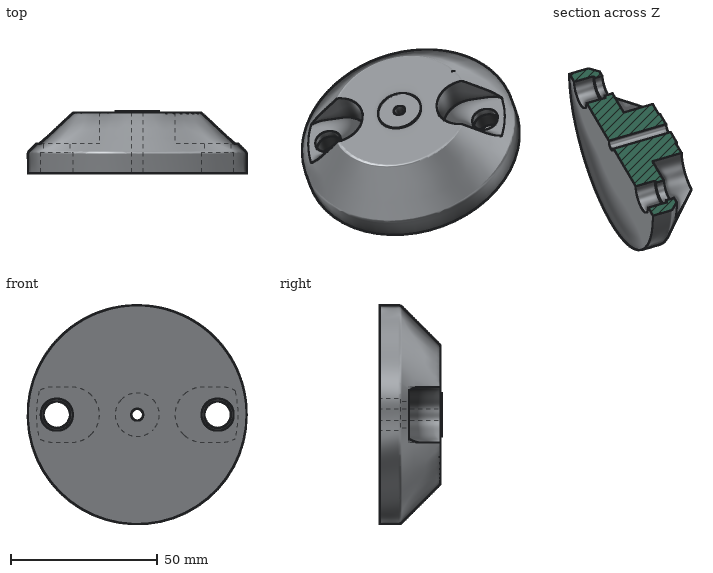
import cadquery as cq

outer_radius = 37.5
body_height = 20.85
shoulder_height = 7.1
flank_height = body_height - shoulder_height
top_radius = outer_radius - flank_height
edge_radius = 1.35

pad_diameter = 15.0
total_height = 21.3

center_hole_diameter = 4.0
mount_hole_offset = 27.5
mount_hole_diameter = 9.0

counterbore_diameter = 11.0
counterbore_depth = 7.1
pocket_width = 19.05
pocket_inner_center = 22.5
pocket_outer_center = 28.8
pocket_floor = 10.1


def cylinder(x, start, end, diameter):
    """Round bar along Y, centred at (x, 0), from Y = start to Y = end."""
    bar = cq.Solid.makeCylinder(
        diameter / 2, end - start, cq.Vector(x, start, 0), cq.Vector(0, 1, 0)
    )
    return cq.Workplane(bar)


def make_body():
    profile = (
        cq.Workplane("XY")
        .lineTo(outer_radius, 0)
        .lineTo(outer_radius, shoulder_height)
        .lineTo(top_radius, body_height)
        .lineTo(0, body_height)
        .close()
    )
    body = profile.revolve(360, (0, 0, 0), (0, 1, 0))
    flank = body.faces("%CONE")
    return flank.edges("%CIRCLE").fillet(edge_radius)


def make_pocket(side):
    """Round-ended slot running in X, open towards the back."""
    pocket_height = total_height - pocket_floor
    pocket_length = pocket_outer_center - pocket_inner_center
    middle_x = side * (pocket_inner_center + pocket_outer_center) / 2
    straight = cq.Workplane("XY").box(pocket_length, pocket_height, pocket_width)
    pocket = straight.translate((middle_x, pocket_floor + pocket_height / 2, 0))
    for center in (pocket_inner_center, pocket_outer_center):
        pocket = pocket.union(cylinder(side * center, pocket_floor, total_height, pocket_width))
    return pocket


def cut_mount_hole(body, side):
    x = side * mount_hole_offset
    body = body.cut(cylinder(x, 0, total_height, mount_hole_diameter))
    body = body.cut(cylinder(x, 0, counterbore_depth, counterbore_diameter))
    return body.cut(make_pocket(side))


result = make_body()
for side in (-1, 1):
    result = cut_mount_hole(result, side)
result = result.union(cylinder(0, pocket_floor, total_height, pad_diameter))
result = result.cut(cylinder(0, 0, total_height, center_hole_diameter))